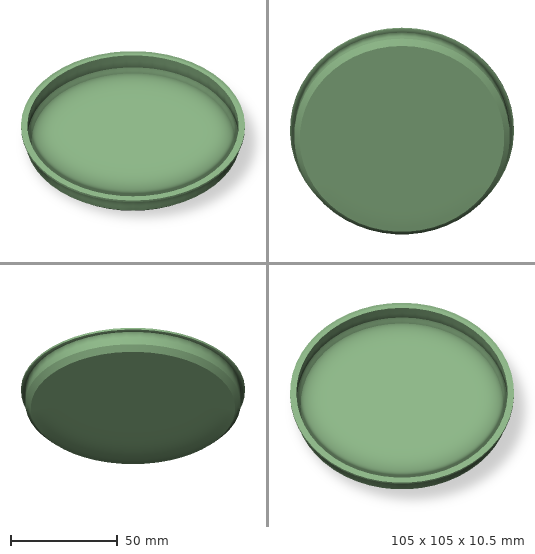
import math

import cadquery as cq

rim_diameter = 105.0
body_diameter = 101.0
inner_diameter = 99.0
height = 10.5
inner_chamfer = 2.0

sheet = (body_diameter - inner_diameter) / 2

outer_chamfer = inner_chamfer + sheet * (2 - math.sqrt(2))


def disc(diameter, bottom, thickness):
    """Upright disc centred on the Z axis."""
    return cq.Workplane("XY").workplane(offset=bottom).circle(diameter / 2).extrude(thickness)


body = disc(body_diameter, 0, height).faces("<Z").edges().chamfer(outer_chamfer)

rim = disc(rim_diameter, height - sheet, sheet)

cavity = disc(inner_diameter, sheet, height - sheet).faces("<Z").edges().chamfer(inner_chamfer)

result = body.union(rim).cut(cavity)